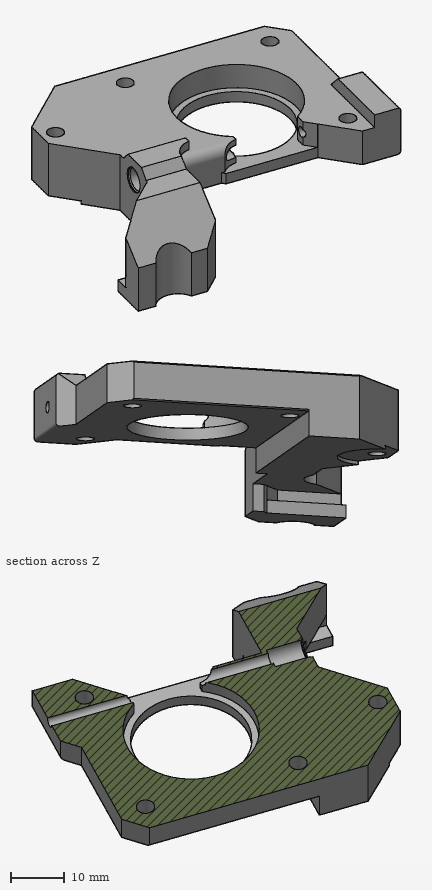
import cadquery as cq

FOOT_SHELF_Z = 2.5
BODY_BOTTOM = 5.25
PLATE_BOTTOM = 10.1
FLOOR_Z = 12.45
PLATE_TOP = 17.6
BUMP_TOP = 19.5
BLOCK_TOP = 20.45

LENGTH = 62.5
WIDTH = 53.4
PLATE_BACK = 59.45
PLATE_RIGHT = 41.8
PLATE_RIGHT_FRONT = 54.25
FRONT_CORNER = 10.95
BACK_CORNER = 4.05
NOSE_RIGHT = 17.55
ARM_BACK = 18.6
ARM_FRONT = 10.0
THICK_BACK = 20.9
LEDGE_X = 35.6
BOSS_EDGE_X = 35.0
BOSS_FILLET = 2.0
LEDGE_FRONT = 28.4
LEDGE_BEVEL = LEDGE_X - BOSS_EDGE_X
LEFT_CHAMFER = 0.25

BORE_X = 21.0
BORE_Y = 38.5
BORE_DIAMETER = 22.9
RECESS_DIAMETER = 25.6
SCREW_PITCH = 31.0
SCREW_DIAMETER = 3.4
HALF_PITCH = SCREW_PITCH / 2
MISSING_SCREW = (BORE_X + HALF_PITCH, BORE_Y - HALF_PITCH)
FRONT_SCREW = (14.75, 3.05)
FRONT_RELIEF_RADIUS = 7.5
FRONT_RELIEF_DEPTH = 0.7

OPENING_BACK = 45.95
OPENING_FRONT = 31.9
OPENING_TIP_X = 33.55
OPENING_ARC = [(33.1, OPENING_FRONT), (33.95, 29.6), (BOSS_EDGE_X, 28.45)]

CLAMP_X = 32.95
CLAMP_Z = 15.0
CLAMP_MOUTH_DIAMETER = 4.55
CLAMP_MOUTH_DEPTH = 7.5
CLAMP_MOUTH_CHAMFER = 0.25
CLAMP_SHANK_DIAMETER = 2.75
CLAMP_THREAD_DIAMETER = 2.1

BUMP_LEFT = 28.9
BUMP_RIGHT = 37.95
BUMP_BACK = 22.3
SCREW_ACCESS_RADIUS = 4.45

BLOCK_LEFT = 24.45
BLOCK_FRONT = 56.9
BLOCK_RAMP = BLOCK_TOP - PLATE_TOP
BLOCK_FILLET = 0.75

SLOPE_START_X = 43.4
SLOPE_END_Z = 9.6
ARM_CORNER = 3.8
NOTCH_X = 55.25
NOTCH_Y = 7.55
NOTCH_RADIUS = 4.25
ARM_TIP_X = 48.4
FOOT_LEFT = 45.25
FOOT_BACK_LEFT = 44.3
FOOT_STEP_Y = 15.55
POCKET_STEP = 0.1
UNDERCUT_RADIUS = 5.3
UNDERCUT_X = 36.25
UNDERCUT_Y = 5.5
UNDERCUT_TOP = 7.6


def prism(points, bottom, top):
    """Vertical prism on a closed XY outline."""
    return cq.Workplane("XY", origin=(0, 0, bottom)).polyline(points).close().extrude(top - bottom)


def prism_along_y(points, front, back):
    """Prism along Y on a closed XZ outline."""
    return cq.Workplane("XZ", origin=(0, front, 0)).polyline(points).close().extrude(front - back)


def cylinder(center, radius, bottom, top):
    """Vertical cylinder."""
    return cq.Workplane("XY", origin=(*center, bottom)).circle(radius).extrude(top - bottom)


def cylinder_along_y(x, z, radius, front, back):
    """Cylinder with its axis along Y."""
    return cq.Workplane("XZ", origin=(x, front, z)).circle(radius).extrude(front - back)


def make_body():
    """Plate with its thicker front and the arm, all in one outline."""
    diagonal = PLATE_RIGHT - LEDGE_X
    outline = [
        (0, FRONT_CORNER), (FRONT_CORNER, 0), (NOSE_RIGHT, 0), (NOSE_RIGHT + ARM_FRONT, ARM_FRONT),
        (ARM_TIP_X - ARM_FRONT, ARM_FRONT), (ARM_TIP_X, 0), (WIDTH, 0),
        (WIDTH, ARM_BACK), (BOSS_EDGE_X, ARM_BACK), (BOSS_EDGE_X, LEDGE_FRONT - LEDGE_BEVEL),
        (LEDGE_X, LEDGE_FRONT),
        (LEDGE_X, PLATE_RIGHT_FRONT - diagonal), (PLATE_RIGHT, PLATE_RIGHT_FRONT), (PLATE_RIGHT, PLATE_BACK),
        (BACK_CORNER, PLATE_BACK), (0, PLATE_BACK - BACK_CORNER),
    ]
    body = prism(outline, BODY_BOTTOM, PLATE_TOP)
    below_plate = cq.Workplane("XY").box(WIDTH, LENGTH, PLATE_BOTTOM, centered=False)
    body = body.cut(below_plate.translate((0, THICK_BACK, 0)))
    left_edges_of_plate = cq.selectors.BoxSelector(
        (-LEFT_CHAMFER, 0, PLATE_BOTTOM - LEFT_CHAMFER),
        (LEFT_CHAMFER, LENGTH, PLATE_TOP + LEFT_CHAMFER),
    )
    return body.faces("<X").edges("|Y").edges(left_edges_of_plate).chamfer(LEFT_CHAMFER)


def make_block():
    """Raised block overhanging the back edge, with a ramped left end and rounded back edges."""
    plan = [
        (BLOCK_LEFT, BLOCK_FRONT), (PLATE_RIGHT, BLOCK_FRONT), (PLATE_RIGHT, LENGTH),
        (BLOCK_LEFT + LENGTH - PLATE_BACK, LENGTH), (BLOCK_LEFT, PLATE_BACK),
    ]
    block = prism(plan, PLATE_BOTTOM, BLOCK_TOP).faces(">Y").edges("|X").fillet(BLOCK_FILLET)
    ramp = [(BLOCK_LEFT, PLATE_TOP), (BLOCK_LEFT + BLOCK_RAMP, BLOCK_TOP), (BLOCK_LEFT, BLOCK_TOP)]
    return block.cut(prism_along_y(ramp, BLOCK_FRONT, LENGTH))


def make_bump():
    """Trapezoid ridge that covers the clamp screw."""
    rise = BUMP_TOP - PLATE_TOP
    profile = [
        (BUMP_LEFT, PLATE_TOP), (BUMP_LEFT + rise, BUMP_TOP),
        (BUMP_RIGHT - rise, BUMP_TOP), (BUMP_RIGHT, PLATE_TOP),
    ]
    bump = prism_along_y(profile, ARM_FRONT, BUMP_BACK)
    behind_arm = cq.Workplane("XY").box(WIDTH, LENGTH, BUMP_TOP, centered=False)
    bump = bump.cut(behind_arm.translate((MISSING_SCREW[0], ARM_BACK, 0)))
    return bump.cut(cylinder(MISSING_SCREW, SCREW_ACCESS_RADIUS, PLATE_TOP, BUMP_TOP))


def make_foot():
    """Foot below the arm, with a pocket above its shelf."""
    step = FOOT_LEFT - FOOT_BACK_LEFT
    outline = [
        (FOOT_LEFT, 0), (WIDTH, 0), (WIDTH, ARM_BACK), (FOOT_BACK_LEFT, ARM_BACK),
        (FOOT_BACK_LEFT, FOOT_STEP_Y + step), (FOOT_LEFT, FOOT_STEP_Y),
    ]
    pocket_depth = ARM_TIP_X - FOOT_LEFT
    pocket = [
        (FOOT_LEFT, 0), (ARM_TIP_X, 0),
        (ARM_TIP_X, FOOT_STEP_Y - pocket_depth + POCKET_STEP),
        (FOOT_LEFT + POCKET_STEP, FOOT_STEP_Y), (FOOT_LEFT, FOOT_STEP_Y),
    ]
    return prism(outline, 0, BODY_BOTTOM).cut(prism(pocket, FOOT_SHELF_Z, BODY_BOTTOM))


def cut_arm(part):
    """Sloped top, back corner, round notch and underside relief of the arm."""
    slope = [(SLOPE_START_X, PLATE_TOP), (WIDTH, SLOPE_END_Z), (WIDTH, PLATE_TOP)]
    corner = [(WIDTH - ARM_CORNER, ARM_BACK), (WIDTH, ARM_BACK), (WIDTH, ARM_BACK - ARM_CORNER)]
    part = part.cut(prism_along_y(slope, 0, ARM_BACK))
    part = part.cut(prism(corner, 0, PLATE_TOP))
    part = part.cut(cylinder((NOTCH_X, NOTCH_Y), NOTCH_RADIUS, 0, PLATE_TOP))
    return part.cut(cylinder((UNDERCUT_X, UNDERCUT_Y), UNDERCUT_RADIUS, BODY_BOTTOM, UNDERCUT_TOP))


def round_boss_edge(part):
    """Round the top edge of the plate beside the clamp screw."""
    center_x = BOSS_EDGE_X - BOSS_FILLET
    center_z = PLATE_TOP - BOSS_FILLET
    length = OPENING_FRONT - ARM_BACK
    corner = cq.Workplane("XY").box(LEDGE_X - center_x, length, BOSS_FILLET, centered=False)
    corner = corner.translate((center_x, ARM_BACK, center_z))
    rounding = cylinder_along_y(center_x, center_z, BOSS_FILLET, ARM_BACK, OPENING_FRONT)
    return part.cut(corner.cut(rounding))


def cut_motor_face(part):
    """Bore, recess with its side opening, and the screw holes."""
    bore = (BORE_X, BORE_Y)
    part = part.cut(cylinder(bore, BORE_DIAMETER / 2, 0, PLATE_TOP))
    part = part.cut(cylinder(bore, RECESS_DIAMETER / 2, FLOOR_Z, PLATE_TOP))
    opening = (
        cq.Workplane("XY", origin=(0, 0, FLOOR_Z))
        .moveTo(BORE_X, OPENING_FRONT)
        .lineTo(*OPENING_ARC[0])
        .threePointArc(*OPENING_ARC[1:])
        .lineTo(BOSS_EDGE_X, LEDGE_FRONT - LEDGE_BEVEL)
        .lineTo(LEDGE_X, LEDGE_FRONT - LEDGE_BEVEL)
        .lineTo(LEDGE_X, OPENING_BACK + LEDGE_X - OPENING_TIP_X)
        .lineTo(OPENING_TIP_X, OPENING_BACK)
        .lineTo(BORE_X, OPENING_BACK)
        .close()
        .extrude(PLATE_TOP - FLOOR_Z)
    )
    part = part.cut(opening)
    screws = [
        (BORE_X - HALF_PITCH, BORE_Y - HALF_PITCH), (BORE_X - HALF_PITCH, BORE_Y + HALF_PITCH),
        (BORE_X + HALF_PITCH, BORE_Y + HALF_PITCH), FRONT_SCREW,
    ]
    for screw in screws:
        part = part.cut(cylinder(screw, SCREW_DIAMETER / 2, 0, PLATE_TOP))
    relief = cylinder(FRONT_SCREW, FRONT_RELIEF_RADIUS, BODY_BOTTOM, BODY_BOTTOM + FRONT_RELIEF_DEPTH)
    return part.cut(relief)


def cut_clamp_screw(part):
    """Stepped clamp screw hole, running along Y through the whole part."""
    mouth_radius = CLAMP_MOUTH_DIAMETER / 2
    steps = [
        (mouth_radius, ARM_FRONT + CLAMP_MOUTH_DEPTH),
        (CLAMP_SHANK_DIAMETER / 2, OPENING_FRONT),
        (CLAMP_THREAD_DIAMETER / 2, LENGTH),
    ]
    for radius, back in steps:
        part = part.cut(cylinder_along_y(CLAMP_X, CLAMP_Z, radius, ARM_FRONT, back))
    flare = cylinder_along_y(CLAMP_X, CLAMP_Z, mouth_radius + CLAMP_MOUTH_CHAMFER,
                             ARM_FRONT, ARM_FRONT + 2 * CLAMP_MOUTH_CHAMFER)
    flare = flare.faces(">Y").chamfer(CLAMP_MOUTH_CHAMFER)
    return part.cut(flare)


result = make_body()
result = round_boss_edge(result)
result = result.union(make_block()).union(make_bump()).union(make_foot())
result = cut_arm(result)
result = cut_motor_face(result)
result = cut_clamp_screw(result)